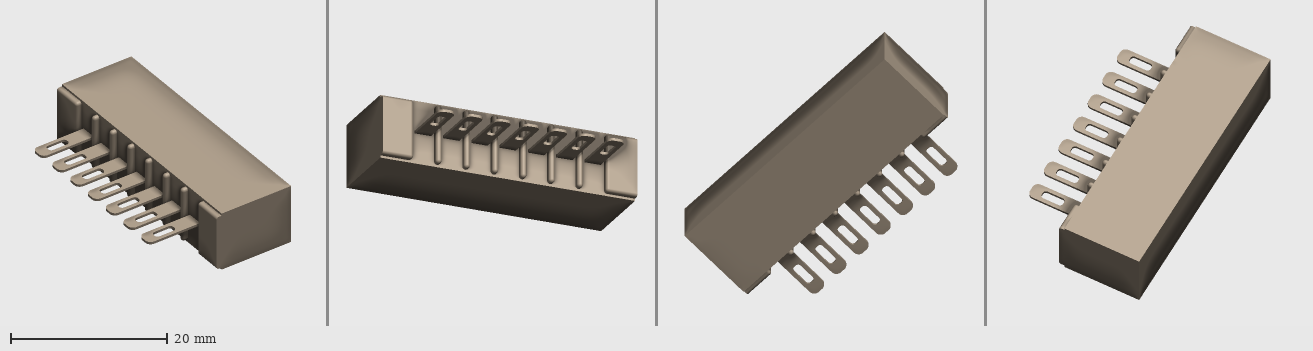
import cadquery as cq

HOUSING_WIDTH = 35.6
HOUSING_DEPTH = 10.85
HOUSING_HEIGHT = 8.72

RAISED_DEPTH = 0.82
RAISED_HEIGHT = 8.1
PAD_WIDTH = 4.35
RIB_WIDTH = 0.82
ROUND_RADIUS = RIB_WIDTH / 2

CONTACT_COUNT = 7
CONTACT_PITCH = 3.95
CONTACT_WIDTH = 2.28
CONTACT_THICKNESS = 0.35
CONTACT_LENGTH = 8.0
CONTACT_TIP_RADIUS = 0.82
EYELET_WIDTH = 1.18
EYELET_LENGTH = 3.1
EYELET_TIP_MARGIN = 1.6
EYELET_CORNER_RADIUS = 0.45


def centred_positions(count):
    """X positions of a row of evenly pitched items centred on X = 0."""
    return [(index - (count - 1) / 2) * CONTACT_PITCH for index in range(count)]


def make_end_pad(side):
    """Raised pad at one end of the contact face; side is -1 for -X and +1 for +X."""
    inner_face = ">X" if side < 0 else "<X"
    pad = cq.Workplane("XY").box(PAD_WIDTH, RAISED_DEPTH, RAISED_HEIGHT)
    pad = pad.edges(f"<Y or ({inner_face} and |Y)").edges(f"(not |Z) or {inner_face}")
    pad = pad.fillet(ROUND_RADIUS)
    return pad.translate((side * (HOUSING_WIDTH - PAD_WIDTH) / 2, -RAISED_DEPTH / 2, 0))


def make_rib(x):
    """Separator rib with a half-round crest and ball-shaped ends."""
    crest_length = RAISED_HEIGHT - RIB_WIDTH
    crest_y = ROUND_RADIUS - RAISED_DEPTH
    rib = (
        cq.Workplane("XZ")
        .slot2D(RAISED_HEIGHT, RIB_WIDTH, 90)
        .extrude(-crest_y)
    )
    crest = cq.Workplane("XY").circle(ROUND_RADIUS).extrude(crest_length / 2, both=True)
    for end in (-1, 1):
        ball = cq.Workplane("XY").sphere(ROUND_RADIUS)
        crest = crest.union(ball.translate((0, 0, end * crest_length / 2)))
    front_half = cq.Workplane("XY").box(RIB_WIDTH, ROUND_RADIUS, RAISED_HEIGHT)
    crest = crest.intersect(front_half.translate((0, -ROUND_RADIUS / 2, 0)))
    rib = rib.union(crest.translate((0, crest_y, 0)))
    return rib.translate((x, 0, 0))


def make_housing():
    """Block with a pad at each end and one rib between each pair of contacts."""
    housing = cq.Workplane("XY").box(
        HOUSING_WIDTH, HOUSING_DEPTH, HOUSING_HEIGHT, centered=(True, False, True)
    )
    for side in (-1, 1):
        housing = housing.union(make_end_pad(side))
    for x in centred_positions(CONTACT_COUNT - 1):
        housing = housing.union(make_rib(x))
    return housing


def make_contact(x):
    """Flat contact standing on the housing face, with a rounded tip and an eyelet."""
    blade = (
        cq.Workplane("XY")
        .box(CONTACT_WIDTH, CONTACT_LENGTH, CONTACT_THICKNESS)
        .translate((0, -CONTACT_LENGTH / 2, 0))
        .edges("|Z and <Y")
        .fillet(CONTACT_TIP_RADIUS)
    )
    eyelet_y = -CONTACT_LENGTH + EYELET_TIP_MARGIN + EYELET_LENGTH / 2
    eyelet = (
        cq.Workplane("XY")
        .box(EYELET_WIDTH, EYELET_LENGTH, CONTACT_THICKNESS)
        .edges("|Z")
        .fillet(EYELET_CORNER_RADIUS)
        .translate((0, eyelet_y, 0))
    )
    return blade.cut(eyelet).translate((x, 0, 0))


housing = make_housing()
contacts = [make_contact(x) for x in centred_positions(CONTACT_COUNT)]

result = cq.Compound.makeCompound([housing.val(), *[contact.val() for contact in contacts]])